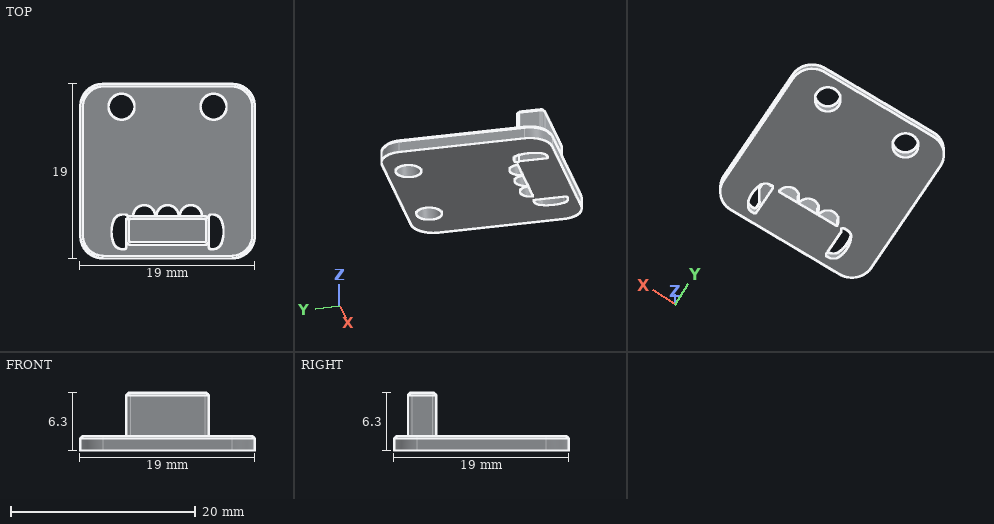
import cadquery as cq
import math

plate_side = 19.0
plate_thickness = 1.6
plate_corner_radius = 2.5
edge_chamfer = 0.3

mount_hole_diameter = 2.8
mount_hole_x = 5.0
mount_hole_y = 7.0

overall_height = 6.3
block_length = 9.0
block_depth = 3.12
block_back_y = -4.9
block_corner_radius = 0.45
block_center_y = block_back_y - block_depth / 2
block_side_x = block_length / 2

pin_diameter = 2.38
pin_pitch = 2.54
pin_count = 3

slot_outer_x = 6.08
slot_half_height = 1.87
slot_center_y = -6.6
slot_bulge_radius = 3.5
slot_shoulder_radius = 1.0
slot_inner_radius = 0.2

relief_radius = 0.25
relief_offset = 0.08
relief_x = -block_side_x - relief_offset
relief_y = slot_center_y + slot_half_height - relief_radius


def rounded_bar(length, depth, height, corner_radius):
    """Bar on the bottom plane with rounded upright corners and a chamfered top edge."""
    bar = cq.Workplane("XY").box(length, depth, height, centered=(True, True, False))
    return bar.edges("|Z").fillet(corner_radius).faces(">Z").chamfer(edge_chamfer)


def through_cylinder(x, y, diameter, height):
    return cq.Workplane("XY").center(x, y).circle(diameter / 2).extrude(height)


def right_slot():
    """Slot with a straight inner wall and an outer wall of tangent arcs."""
    bulge_x = slot_outer_x - slot_bulge_radius
    shoulder_y = slot_half_height - slot_shoulder_radius
    center_distance = slot_bulge_radius - slot_shoulder_radius
    tangent_angle = math.asin(shoulder_y / center_distance)
    shoulder_x = bulge_x + center_distance * math.cos(tangent_angle)

    tangent_x = bulge_x + slot_bulge_radius * math.cos(tangent_angle)
    tangent_y = slot_bulge_radius * math.sin(tangent_angle)
    middle_angle = (tangent_angle + math.pi / 2) / 2
    shoulder_mid_x = shoulder_x + slot_shoulder_radius * math.cos(middle_angle)
    shoulder_mid_y = shoulder_y + slot_shoulder_radius * math.sin(middle_angle)

    slot = (
        cq.Workplane("XY")
        .moveTo(block_side_x, -slot_half_height)
        .lineTo(shoulder_x, -slot_half_height)
        .threePointArc((shoulder_mid_x, -shoulder_mid_y), (tangent_x, -tangent_y))
        .threePointArc((slot_outer_x, 0), (tangent_x, tangent_y))
        .threePointArc((shoulder_mid_x, shoulder_mid_y), (shoulder_x, slot_half_height))
        .lineTo(block_side_x, slot_half_height)
        .close()
        .extrude(plate_thickness)
    )
    slot = slot.edges("|Z and <X").fillet(slot_inner_radius)
    return slot.translate((0, slot_center_y, 0))


plate = rounded_bar(plate_side, plate_side, plate_thickness, plate_corner_radius)
for side in (-1, 1):
    plate = plate.cut(
        through_cylinder(side * mount_hole_x, mount_hole_y, mount_hole_diameter, plate_thickness)
    )
for index in range(pin_count):
    pin_x = (index - (pin_count - 1) / 2) * pin_pitch
    plate = plate.cut(through_cylinder(pin_x, block_back_y, pin_diameter, plate_thickness))
slot = right_slot()
plate = plate.cut(slot).cut(slot.mirror("YZ"))

block = rounded_bar(block_length, block_depth, overall_height, block_corner_radius)
block = block.translate((0, block_center_y, 0))
relief = through_cylinder(relief_x, relief_y, 2 * relief_radius, overall_height)

result = plate.union(block).cut(relief)